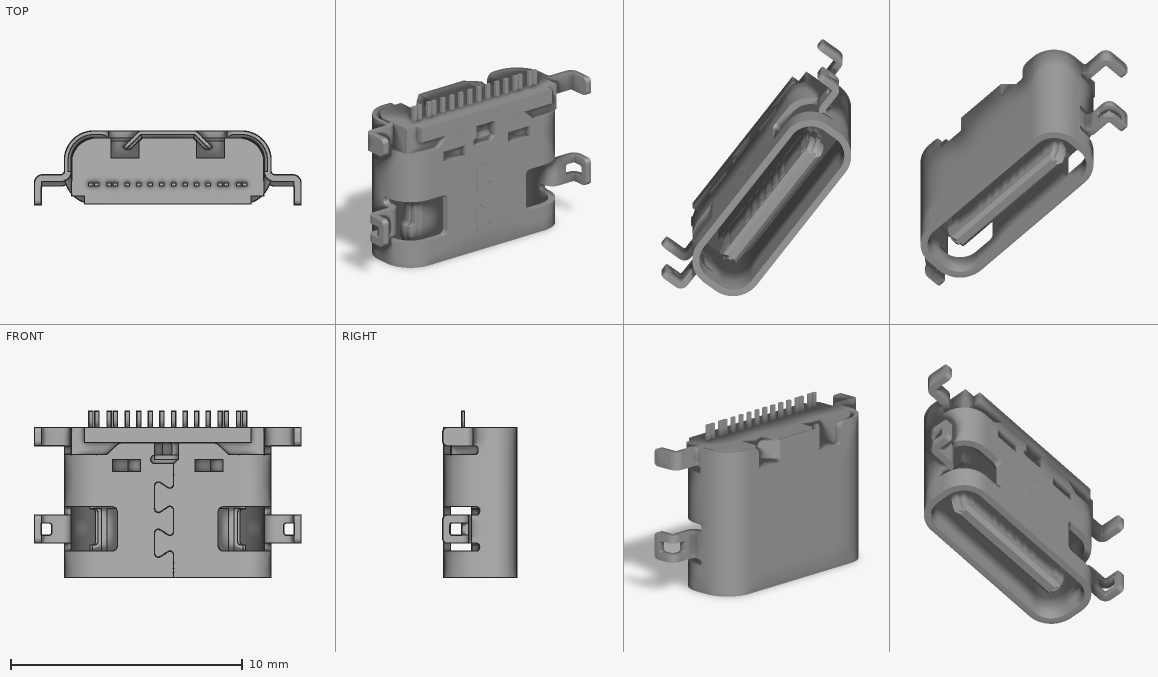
import cadquery as cq
import math


ARC_MID = math.sqrt(0.5)

OVERALL_D = 3.21
SHEET = 0.3
SHELL_HALF_W = 4.48
SHELL_HALF_D = 1.58
SHELL_R = 1.28
SHELL_H = 6.5
RIM_CHAMFER = 0.14
INNER_HALF_W = SHELL_HALF_W - SHEET
INNER_HALF_D = SHELL_HALF_D - SHEET
INNER_R = SHELL_R - SHEET
CUT_MARGIN = 0.58
PICK_MARGIN = 0.12

PANEL_TOP = 5.82
PANEL_SHOULDER = 5.32
PANEL_TOP_HALF_W = 2.12
SHOULDER_HALF_W = 2.65
PANEL_CORNER_R = 0.25

TAB_HALF_SPAN = 5.77
TAB_FOOT_Y = SHELL_HALF_D - OVERALL_D
TAB_ROOT_R = 0.14
TAB_ELBOW_R = 0.07
TAB_CORNER_R = 0.21
REAR_TAB_Z = (5.7, SHELL_H)
REAR_TAB_Y = -0.31
FRONT_TAB_Z = (1.49, 2.71)
FRONT_TAB_Y = -0.51
TAB_HOLE_H = 0.52
TAB_HOLE_X = 5.02
TAB_HOLE_Y = -1.33
TAB_HOLE_R = 0.12

REAR_RELIEF_Y = -0.09
FRONT_RELIEF_Y = -0.02
RELIEF_R = 0.16
WINDOW_Z = (1.15, 3.07)
WINDOW_HALF_X = 2.18
WINDOW_R = 0.23

LATCH_X = (1.18, 2.4)
LATCH_Z = (4.58, 5.1)
LATCH_POCKET_DEPTH = 0.4
LATCH_HOLLOW_W = 0.51
LATCH_FLAT_W = 0.17
SEAM_X = 0.25
DOVETAIL_X = -0.57
DOVETAIL_FLARE = 0.54
DOVETAIL_R = 0.16
DOVETAILS_Z = ((0.75, 2.23), (2.69, 4.27))
SEAM_GAP = 0.01
SLOT_Z = (4.93, 5.3)
SLOT_END_X = -0.74
CHANNEL_X = 0.46
CHANNEL_BEVEL = 0.21
RAMP_Z = 5.1
RECESS_DEPTH = 0.14
RECESS_POCKET_X = (-0.22, 0.17)
RECESS_POCKET_DEPTH = 0.46
RECESS_POCKET_R = 0.09

NOTCH_HALF_X = (1.23, 2.57)
NOTCH_DEPTH = 1.0
NOTCH_CORNER_R = 0.31
NOTCH_FLOOR_R = 0.15
FINGER_H = 0.8
FINGER_LENGTH = 0.98
FINGER_ANGLE = 45.0
FINGER_TIP_R = 0.25
POCKET_HALF_X = (1.23, 2.46)
POCKET_Y = 0.42
POCKET_BEVEL = 0.15

BODY_HALF_W = 4.15
BODY_R = 1.1
FLANGE_FRONT_Y = -1.25
BODY_BOTTOM = 4.44
LIP_HALF_W = 3.61
LIP_FRONT_Y = -1.59
LIP_BOTTOM = 5.84

TONGUE_TIP = 0.23
TONGUE_T = 0.7
TONGUE_HALF_T = TONGUE_T / 2
TONGUE_HALF_W = 3.27
TONGUE_TIP_CHAMFER = 0.17
TONGUE_TAPER_W = 0.35
TONGUE_TAPER_H = 0.92
PLATE_HALF_T = 0.1
PLATE_OVERHANG = 0.1
LATCH_NOTCH_Z = (1.41, 2.97)
LATCH_NOTCH_DEPTH = 0.24
LATCH_NOTCH_R = 0.15
COLLAR_BOTTOM = 2.99

CONTACT_STEPS = (0.5, 1.5, 2.5, 5.5)
OUTER_CONTACT_X = 2.75
PITCH = OUTER_CONTACT_X / CONTACT_STEPS[-1]
CONTACT_W = 0.24
CONTACT_HEIGHT = 0.03
CONTACT_BOTTOM = 0.62
TAIL_TOP = 7.2
TAIL_W = 0.2
TAIL_T = 0.13
TAIL_Y = -0.74
TAIL_STEPS = (0.5, 1.5, 2.5, 3.5)
TAIL_PAIRS = (2.4, 3.2)
TAIL_PAIR_SPACING = 0.27


def block(x, y, z):
    """Box between the (low, high) limits on each axis."""
    size = [high - low for low, high in (x, y, z)]
    return cq.Workplane("XY").box(*size, centered=False).translate((x[0], y[0], z[0]))


def both_sides(part):
    """The part together with its mirror image across X = 0."""
    return part.union(part.mirror("YZ"))


def front_prism(points, y_low, y_high):
    """Prism with an (x, z) outline, running along Y."""
    outline = cq.Workplane("XZ", origin=(0, y_high, 0)).polyline(points).close()
    return outline.extrude(y_high - y_low)


def tangent_radius(run, rise):
    """Radius of an arc that starts along the run and has risen by the given amount at its end."""
    return (run ** 2 + rise ** 2) / (2 * rise)


def make_tube():
    """Closed shell tube with a chamfer along the inner rim at the rear."""
    outer = block((-SHELL_HALF_W, SHELL_HALF_W), (-SHELL_HALF_D, SHELL_HALF_D), (0, SHELL_H))
    inner = block((-INNER_HALF_W, INNER_HALF_W), (-INNER_HALF_D, INNER_HALF_D), (0, SHELL_H))
    rounded_outer = outer.edges("|Z").fillet(SHELL_R)
    tube = rounded_outer.cut(inner.edges("|Z").fillet(INNER_R))
    inner_wire = tube.faces(">Z").val().innerWires()[0]
    return tube.newObject(inner_wire.Edges()).chamfer(RIM_CHAMFER)


def relief(y_end, z):
    """Round-ended slot through the side wall, open toward the front."""
    slot = block((INNER_HALF_W - INNER_R, SHELL_HALF_W + CUT_MARGIN), (-SHELL_HALF_D, y_end), z)
    return slot.edges("|X and >Y").fillet(RELIEF_R)


def make_shell_openings():
    """Everything cut from the tube to free the tabs."""
    far_x = SHELL_HALF_W + CUT_MARGIN
    far_y = -SHELL_HALF_D - CUT_MARGIN
    above = SHELL_H + CUT_MARGIN
    rear_opening = front_prism(
        [
            (-PANEL_TOP_HALF_W, PANEL_TOP),
            (PANEL_TOP_HALF_W, PANEL_TOP),
            (SHOULDER_HALF_W, PANEL_SHOULDER),
            (far_x, PANEL_SHOULDER),
            (far_x, above),
            (-far_x, above),
            (-far_x, PANEL_SHOULDER),
            (-SHOULDER_HALF_W, PANEL_SHOULDER),
        ],
        far_y,
        REAR_TAB_Y + TAB_ROOT_R,
    )
    shoulder_edges = cq.selectors.BoxSelector(
        (-SHOULDER_HALF_W - PICK_MARGIN, far_y, PANEL_SHOULDER - PICK_MARGIN),
        (SHOULDER_HALF_W + PICK_MARGIN, SHELL_HALF_D, PANEL_TOP + PICK_MARGIN),
    )
    rear_opening = rear_opening.edges("|Y").edges(shoulder_edges).fillet(PANEL_CORNER_R)

    window = block((WINDOW_HALF_X, far_x), (far_y, FRONT_TAB_Y + TAB_ROOT_R), WINDOW_Z)
    window = window.edges("|Y and <X").fillet(WINDOW_R)
    side_cuts = (
        window
        .union(relief(FRONT_RELIEF_Y, (WINDOW_Z[0], FRONT_TAB_Z[0])))
        .union(relief(FRONT_RELIEF_Y, (FRONT_TAB_Z[1], WINDOW_Z[1])))
        .union(relief(REAR_RELIEF_Y, (PANEL_SHOULDER, REAR_TAB_Z[0])))
    )
    return rear_opening.union(both_sides(side_cuts))


def make_tab(top_y, z):
    """Right-hand solder tab, bent out of the side wall and then down toward -Y."""
    root_y = top_y + TAB_ROOT_R
    under_y = top_y - SHEET
    root_x = SHELL_HALF_W + TAB_ROOT_R
    leg_x = TAB_HALF_SPAN - SHEET
    elbow_x = leg_x - TAB_ELBOW_R
    elbow_y = under_y - TAB_ELBOW_R
    root_outer_r = TAB_ROOT_R + SHEET
    elbow_outer_r = TAB_ELBOW_R + SHEET
    tab = (
        cq.Workplane("XY", origin=(0, 0, z[0]))
        .moveTo(SHELL_HALF_W, root_y)
        .threePointArc((root_x - TAB_ROOT_R * ARC_MID, root_y - TAB_ROOT_R * ARC_MID), (root_x, top_y))
        .lineTo(elbow_x, top_y)
        .threePointArc(
            (elbow_x + elbow_outer_r * ARC_MID, elbow_y + elbow_outer_r * ARC_MID),
            (TAB_HALF_SPAN, elbow_y),
        )
        .lineTo(TAB_HALF_SPAN, TAB_FOOT_Y)
        .lineTo(leg_x, TAB_FOOT_Y)
        .lineTo(leg_x, elbow_y)
        .threePointArc(
            (elbow_x + TAB_ELBOW_R * ARC_MID, elbow_y + TAB_ELBOW_R * ARC_MID),
            (elbow_x, under_y),
        )
        .lineTo(root_x, under_y)
        .threePointArc(
            (root_x - root_outer_r * ARC_MID, root_y - root_outer_r * ARC_MID),
            (INNER_HALF_W, root_y),
        )
        .close()
        .extrude(z[1] - z[0])
    )
    return tab.edges("|X and <Y").fillet(TAB_CORNER_R)


def make_tabs():
    """Rear tabs, and front tabs with a hole through the elbow."""
    middle_z = sum(FRONT_TAB_Z) / 2
    hole = block(
        (TAB_HOLE_X, TAB_HALF_SPAN + CUT_MARGIN),
        (TAB_HOLE_Y, FRONT_TAB_Y + CUT_MARGIN),
        (middle_z - TAB_HOLE_H / 2, middle_z + TAB_HOLE_H / 2),
    )
    hole = hole.edges("(|Y and <X) or (|X and <Y)").fillet(TAB_HOLE_R)
    front_tab = make_tab(FRONT_TAB_Y, FRONT_TAB_Z).cut(hole)
    return both_sides(front_tab.union(make_tab(REAR_TAB_Y, REAR_TAB_Z)))


def make_seam_slot():
    """Channel at the top of the front panel, running into a cross slot with one round end."""
    slot_r = (SLOT_Z[1] - SLOT_Z[0]) / 2
    round_x = SLOT_END_X + slot_r
    return (
        cq.Workplane("XZ", origin=(0, -INNER_HALF_D, 0))
        .moveTo(CHANNEL_X, PANEL_TOP)
        .lineTo(CHANNEL_X, SLOT_Z[0] + CHANNEL_BEVEL)
        .lineTo(SEAM_X, SLOT_Z[0])
        .lineTo(round_x, SLOT_Z[0])
        .threePointArc((SLOT_END_X, SLOT_Z[0] + slot_r), (round_x, SLOT_Z[1]))
        .lineTo(DOVETAIL_X, SLOT_Z[1])
        .lineTo(DOVETAIL_X, PANEL_TOP)
        .close()
        .extrude(SHEET)
    )


def make_dovetail_seam():
    """Hairline gap where the two ends of the sheet interlock."""
    points = [(WINDOW_HALF_X, -CUT_MARGIN), (SEAM_X, -CUT_MARGIN)]
    for low, high in DOVETAILS_Z:
        points += [
            (SEAM_X, low + DOVETAIL_FLARE),
            (DOVETAIL_X, low),
            (DOVETAIL_X, high),
            (SEAM_X, high - DOVETAIL_FLARE),
        ]
    points += [(SEAM_X, SLOT_Z[0]), (WINDOW_HALF_X, SLOT_Z[0])]
    right_end = front_prism(points, -SHELL_HALF_D, -INNER_HALF_D)
    corner_edges = cq.selectors.BoxSelector(
        (DOVETAIL_X - PICK_MARGIN, -SHELL_HALF_D, 0),
        (SEAM_X + PICK_MARGIN, SHELL_HALF_D, SLOT_Z[0] - PICK_MARGIN),
    )
    right_end = right_end.edges("|Y").edges(corner_edges).fillet(DOVETAIL_R)
    front_outline = right_end.faces("<Y").wires().toPending()
    widened = front_outline.offset2D(SEAM_GAP).extrude(-SHEET, combine=False)
    seam_range = block(
        (DOVETAIL_X - PICK_MARGIN, SEAM_X + PICK_MARGIN),
        (-SHELL_HALF_D, -INNER_HALF_D),
        (0, SLOT_Z[0]),
    )
    return widened.cut(right_end).intersect(seam_range)


def make_finger_notch():
    """Notch through the back panel, with rounded corners on its far side."""
    near_x, far_x = NOTCH_HALF_X
    round_z = SHELL_H - NOTCH_CORNER_R
    round_x = far_x + NOTCH_CORNER_R
    return (
        cq.Workplane("XZ", origin=(0, SHELL_HALF_D + CUT_MARGIN, 0))
        .moveTo(near_x, SHELL_H)
        .lineTo(near_x, SHELL_H - NOTCH_DEPTH)
        .lineTo(far_x - NOTCH_FLOOR_R, SHELL_H - NOTCH_DEPTH)
        .radiusArc((far_x, SHELL_H - NOTCH_DEPTH + NOTCH_FLOOR_R), -NOTCH_FLOOR_R)
        .lineTo(far_x, round_z)
        .threePointArc(
            (round_x - NOTCH_CORNER_R * ARC_MID, round_z + NOTCH_CORNER_R * ARC_MID),
            (round_x, SHELL_H),
        )
        .close()
        .extrude(SHEET + CUT_MARGIN)
    )


def make_finger():
    """Spring finger bent inward from the edge of the notch, with rounded tip corners."""
    finger = block((-SHEET, FINGER_LENGTH), (-SHEET, 0), (SHELL_H - FINGER_H, SHELL_H))
    finger = finger.edges("|Y and >X").fillet(FINGER_TIP_R)
    finger = finger.edges("|X and >Z and <Y").chamfer(RIM_CHAMFER)
    root = (NOTCH_HALF_X[0], SHELL_HALF_D, 0)
    finger = finger.rotate((0, 0, 0), (0, 0, 1), -FINGER_ANGLE).translate(root)
    shell_side = block((0, SHELL_HALF_W), (-SHELL_HALF_D, SHELL_HALF_D), (0, SHELL_H))
    return finger.intersect(shell_side)


def make_shell():
    """Tube with all its openings, solder tabs and spring fingers."""
    latch_windows = both_sides(block(LATCH_X, (-SHELL_HALF_D, -INNER_HALF_D), LATCH_Z))
    return (
        make_tube()
        .cut(make_shell_openings())
        .cut(latch_windows)
        .cut(make_seam_slot())
        .cut(make_dovetail_seam())
        .cut(both_sides(make_finger_notch()))
        .union(make_tabs())
        .union(both_sides(make_finger()))
    )


def make_latch_pocket(start_x):
    """Pocket behind a latch window: a hollow on the left, a flat floor and a rounded bump."""
    face_y = -INNER_HALF_D
    floor_y = face_y + LATCH_POCKET_DEPTH
    end_x = start_x + LATCH_X[1] - LATCH_X[0]
    flat_start_x = start_x + LATCH_HOLLOW_W
    flat_end_x = flat_start_x + LATCH_FLAT_W
    hollow_r = tangent_radius(LATCH_HOLLOW_W, LATCH_POCKET_DEPTH)
    bump_r = tangent_radius(end_x - flat_end_x, LATCH_POCKET_DEPTH)
    return (
        cq.Workplane("XY", origin=(0, 0, LATCH_Z[0]))
        .moveTo(start_x, face_y)
        .radiusArc((flat_start_x, floor_y), hollow_r)
        .lineTo(flat_end_x, floor_y)
        .radiusArc((end_x, face_y), -bump_r)
        .close()
        .extrude(LATCH_Z[1] - LATCH_Z[0])
    )


def make_finger_pocket():
    """Pocket around a spring finger, with beveled body edges beside and below it."""
    near_x, far_x = POCKET_HALF_X
    floor_z = SHELL_H - NOTCH_DEPTH
    bevel_y = INNER_HALF_D - POCKET_BEVEL
    pocket = (
        cq.Workplane("XY", origin=(0, 0, floor_z))
        .polyline([
            (near_x, POCKET_Y),
            (far_x, POCKET_Y),
            (far_x, INNER_HALF_D),
            (near_x - POCKET_BEVEL, INNER_HALF_D),
            (near_x, bevel_y),
        ])
        .close()
        .extrude(NOTCH_DEPTH)
    )
    floor_bevel = (
        cq.Workplane("YZ", origin=(near_x, 0, 0))
        .polyline([
            (bevel_y, floor_z),
            (INNER_HALF_D, floor_z),
            (INNER_HALF_D, floor_z - POCKET_BEVEL),
        ])
        .close()
        .extrude(far_x - near_x)
    )
    return pocket.union(floor_bevel)


def make_channel_recess():
    """Shallow recess with a ramped floor behind the seam slot, and a deeper pocket within it."""
    face_y = -INNER_HALF_D
    recess_y = face_y + RECESS_DEPTH
    pocket_y = face_y + RECESS_POCKET_DEPTH
    recess = (
        cq.Workplane("YZ", origin=(DOVETAIL_X, 0, 0))
        .polyline([
            (face_y, RAMP_Z),
            (recess_y, SLOT_Z[1]),
            (recess_y, PANEL_TOP),
            (face_y, PANEL_TOP),
        ])
        .close()
        .extrude(CHANNEL_X - DOVETAIL_X)
    )
    pocket = (
        cq.Workplane("XY", origin=(0, 0, SLOT_Z[1]))
        .polyline([
            (DOVETAIL_X, recess_y),
            (RECESS_POCKET_X[0], pocket_y),
            (RECESS_POCKET_X[1], pocket_y),
            (RECESS_POCKET_X[1], recess_y),
        ])
        .close()
        .extrude(PANEL_TOP - SLOT_Z[1])
    )
    return recess.union(pocket.edges("|Y and >X").fillet(RECESS_POCKET_R))


def make_body():
    """Plastic block that closes the rear of the shell, with a front lip over the panel."""
    insert = block((-INNER_HALF_W, INNER_HALF_W), (-INNER_HALF_D, INNER_HALF_D), (BODY_BOTTOM, SHELL_H))
    insert = insert.edges("|Z").fillet(BODY_R)
    insert = insert.intersect(
        block((-BODY_HALF_W, BODY_HALF_W), (-INNER_HALF_D, INNER_HALF_D), (BODY_BOTTOM, SHELL_H))
    )
    flange_gap = block(
        (-BODY_HALF_W, BODY_HALF_W),
        (-INNER_HALF_D, FLANGE_FRONT_Y),
        (PANEL_SHOULDER, SHELL_H),
    )
    flange = block((-BODY_HALF_W, BODY_HALF_W), (FLANGE_FRONT_Y, 0), (PANEL_SHOULDER, SHELL_H))
    lip = block((-LIP_HALF_W, LIP_HALF_W), (LIP_FRONT_Y, 0), (LIP_BOTTOM, SHELL_H))
    return (
        insert
        .cut(flange_gap)
        .union(flange)
        .union(lip)
        .cut(both_sides(make_finger_pocket()))
        .cut(make_latch_pocket(LATCH_X[0]))
        .cut(make_latch_pocket(-LATCH_X[1]))
        .cut(make_channel_recess())
    )


def tongue_layer(half_w, half_t, tip_chamfer):
    """One layer of the tongue, tapered at the tip and with a latch notch in each side."""
    layer = block((-half_w, half_w), (-half_t, half_t), (TONGUE_TIP, BODY_BOTTOM))
    layer = layer.edges("<Z and |X").chamfer(tip_chamfer)
    taper_r = tangent_radius(TONGUE_TAPER_H, TONGUE_TAPER_W)
    taper = (
        cq.Workplane("XZ", origin=(0, half_t, 0))
        .moveTo(half_w, TONGUE_TIP + TONGUE_TAPER_H)
        .radiusArc((half_w - TONGUE_TAPER_W, TONGUE_TIP), taper_r)
        .lineTo(half_w, TONGUE_TIP)
        .close()
        .extrude(2 * half_t)
    )
    notch = block(
        (half_w - LATCH_NOTCH_DEPTH, half_w + CUT_MARGIN),
        (-half_t, half_t),
        LATCH_NOTCH_Z,
    )
    notch = notch.edges("|Y and <X").fillet(LATCH_NOTCH_R)
    return layer.cut(both_sides(notch.union(taper)))


def make_tongue():
    """Plastic tongue around the mid plate, with a collar at its root and contacts on both faces."""
    plate_half_w = TONGUE_HALF_W + PLATE_OVERHANG
    plastic = tongue_layer(TONGUE_HALF_W, TONGUE_HALF_T, TONGUE_TIP_CHAMFER)
    plate = tongue_layer(plate_half_w, PLATE_HALF_T, PLATE_HALF_T / 2)
    contact_half_t = TONGUE_HALF_T + CONTACT_HEIGHT
    collar = block(
        (-plate_half_w, plate_half_w),
        (-contact_half_t, contact_half_t),
        (COLLAR_BOTTOM, BODY_BOTTOM),
    )
    tongue = plastic.union(plate).union(collar)
    for step in CONTACT_STEPS:
        x = step * PITCH
        contact = block(
            (x - CONTACT_W / 2, x + CONTACT_W / 2),
            (-contact_half_t, contact_half_t),
            (CONTACT_BOTTOM, COLLAR_BOTTOM),
        )
        tongue = tongue.union(both_sides(contact))
    return tongue


def make_tails():
    """Solder tails: single ones in the middle, pairs toward the sides."""
    places = [PITCH * step for step in TAIL_STEPS]
    for x in TAIL_PAIRS:
        places += [x - TAIL_PAIR_SPACING / 2, x + TAIL_PAIR_SPACING / 2]
    places += [-x for x in places]
    return (
        cq.Workplane("XY", origin=(0, TAIL_Y, SHELL_H))
        .pushPoints([(x, 0) for x in places])
        .rect(TAIL_W, TAIL_T)
        .extrude(TAIL_TOP - SHELL_H)
    )


connector = make_shell().union(make_body()).union(make_tongue()).union(make_tails())
result = connector.solids()